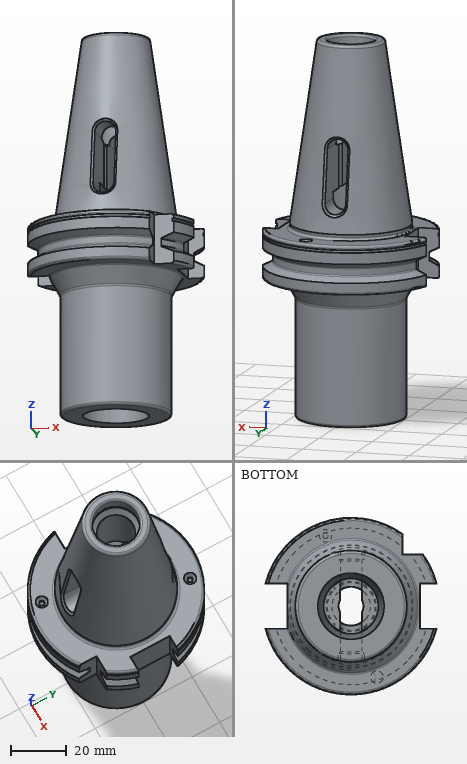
import cadquery as cq
import math

total_height = 138.4
gauge_height = 70.0
flange_top = 69.0
flange_bottom = 51.0
collar_bottom = 44.0

nose_radius = 40.0 / 2
collar_slope = math.tan(math.radians(30))
collar_top_radius = nose_radius + (flange_bottom - collar_bottom) * collar_slope
collar_bottom_fillet = 1.7
collar_top_fillet = 0.7
rim_fillet = 1.0

gauge_radius = 44.4 / 2
taper_slope = 3.5 / 24
taper_bottom = 71.1
taper_rim_fillet = 1.1
neck_radius = 21.9
neck_height = 1.1
neck_fillet = 1.04

flange_radius = 63.5 / 2
grip_center = 58.8
grip_half_width = 3.5
grip_root_radius = 28.1
grip_root_half_width = 1.5
grip_root_fillet = 0.5
ring_top = 67.4
ring_width = 1.0
ring_depth = 0.4

key_width = 16.2
key_floor_left = 22.8
key_floor_right = 24.8
notch_distance = 18.5

coolant_circle_radius = 27.0
coolant_angle = 70
coolant_radius = 1.0
coolant_depth = 2.1
coolant_seat_radius = 1.8
coolant_seat_depth = 1.2
coolant_chamfer = 0.4

slot_width = 7.8
slot_bottom = 77.9
slot_top = 104.9
slot_edge_chamfer = 0.8

counterbore_radius = 8.6
counterbore_depth = 6.2
mouth_fillet = 0.8
relief_radius = 9.0
relief_depth = 8.5
seat_drop = 2.0
thread_radius = 6.9
thread_bottom = 101
pilot_radius = 4.4
drill_point_slope = math.tan(math.radians(30))
socket_mouth_radius = 11.9
socket_depth = 84.0
socket_slope = 0.5 / 20


def taper_radius(z):
    return gauge_radius - (z - gauge_height) * taper_slope


def make_blank():
    ring_radius = flange_radius - ring_depth
    return (
        cq.Workplane("XZ")
        .moveTo(0, 0)
        .lineTo(nose_radius, 0)
        .lineTo(nose_radius, collar_bottom)
        .lineTo(collar_top_radius, flange_bottom)
        .lineTo(flange_radius, flange_bottom)
        .lineTo(flange_radius, grip_center - grip_half_width)
        .lineTo(grip_root_radius, grip_center - grip_root_half_width)
        .lineTo(grip_root_radius, grip_center + grip_root_half_width)
        .lineTo(flange_radius, grip_center + grip_half_width)
        .lineTo(flange_radius, ring_top - ring_width)
        .lineTo(ring_radius, ring_top - ring_width)
        .lineTo(ring_radius, ring_top)
        .lineTo(flange_radius, ring_top)
        .lineTo(flange_radius, flange_top)
        .lineTo(neck_radius, flange_top)
        .lineTo(neck_radius, flange_top + neck_height)
        .lineTo(taper_radius(taper_bottom), taper_bottom)
        .lineTo(taper_radius(total_height), total_height)
        .lineTo(0, total_height)
        .close()
        .revolve(360, (0, 0, 0), (0, 1, 0))
    )


def fillet_ring(body, radius, z, size):
    """Round the circular edge of the given radius at height z."""
    tolerance = 0.01

    def on_ring(edge):
        same_height = abs(edge.Center().z - z) < tolerance
        same_radius = abs(edge.radius() - radius) < tolerance
        return same_height and same_radius

    ring = [edge for edge in body.edges("%CIRCLE").vals() if on_ring(edge)]
    return body.newObject(ring).fillet(size)


def round_blank(body):
    rings = [
        (nose_radius, 0, rim_fillet),
        (nose_radius, collar_bottom, collar_bottom_fillet),
        (collar_top_radius, flange_bottom, collar_top_fillet),
        (flange_radius, flange_bottom, rim_fillet),
        (grip_root_radius, grip_center - grip_root_half_width, grip_root_fillet),
        (grip_root_radius, grip_center + grip_root_half_width, grip_root_fillet),
        (flange_radius, flange_top, rim_fillet),
        (neck_radius, flange_top, neck_fillet),
        (taper_radius(total_height), total_height, taper_rim_fillet),
    ]
    for radius, z, size in rings:
        body = fillet_ring(body, radius, z, size)
    return body


def make_flange_cutouts():
    height = flange_top - collar_bottom
    base = cq.Workplane("XY", origin=(0, 0, collar_bottom))
    reach = flange_radius
    left = base.center(-key_floor_left - reach / 2, 0).rect(reach, key_width).extrude(height)
    right = base.center(key_floor_right + reach / 2, 0).rect(reach, key_width).extrude(height)
    notch_center = notch_distance + reach / 2
    notch = base.center(notch_center, -notch_center).rect(reach, reach).extrude(height)
    return left.union(right).union(notch)


def make_drift_slot():
    return (
        cq.Workplane("XZ")
        .center(0, (slot_bottom + slot_top) / 2)
        .slot2D(slot_top - slot_bottom, slot_width, 90)
        .extrude(gauge_radius, both=True)
    )


def chamfer_slot_mouths(body):
    for side in (-1, 1):
        mouth = cq.selectors.BoxSelector(
            (-slot_width, side * taper_radius(total_height), slot_bottom - slot_width),
            (slot_width, side * gauge_radius, slot_top + slot_width),
        )
        body = body.edges(mouth).chamfer(slot_edge_chamfer)
    return body


def make_bores():
    seat_top = total_height - relief_depth
    point_drop = (thread_radius - pilot_radius) * drill_point_slope
    socket_end_radius = socket_mouth_radius - socket_depth * socket_slope
    return (
        cq.Workplane("XZ")
        .moveTo(0, 0)
        .lineTo(socket_mouth_radius, 0)
        .lineTo(socket_end_radius, socket_depth)
        .lineTo(pilot_radius, socket_depth)
        .lineTo(pilot_radius, thread_bottom - point_drop)
        .lineTo(thread_radius, thread_bottom)
        .lineTo(thread_radius, seat_top - seat_drop)
        .lineTo(relief_radius, seat_top)
        .lineTo(relief_radius, total_height - counterbore_depth)
        .lineTo(counterbore_radius, total_height - counterbore_depth)
        .lineTo(counterbore_radius, total_height)
        .lineTo(0, total_height)
        .close()
        .revolve(360, (0, 0, 0), (0, 1, 0))
    )


def make_coolant_holes():
    drill = (
        cq.Workplane("XZ")
        .lineTo(coolant_seat_radius + coolant_chamfer, 0)
        .lineTo(coolant_seat_radius, -coolant_chamfer)
        .lineTo(coolant_radius, -coolant_seat_depth)
        .lineTo(coolant_radius, -coolant_depth)
        .lineTo(0, -coolant_depth - coolant_radius * drill_point_slope)
        .close()
        .revolve(360, (0, 0, 0), (0, 1, 0))
        .val()
    )
    mouths = (
        cq.Workplane("XY", origin=(0, 0, flange_top))
        .polarArray(coolant_circle_radius, coolant_angle, 360, 2)
    )
    return mouths.eachpoint(drill, combine=False)


body = round_blank(make_blank()).cut(make_flange_cutouts())
body = chamfer_slot_mouths(body.cut(make_drift_slot()))
body = body.cut(make_bores())
body = fillet_ring(body, counterbore_radius, total_height, mouth_fillet)
result = body.cut(make_coolant_holes())